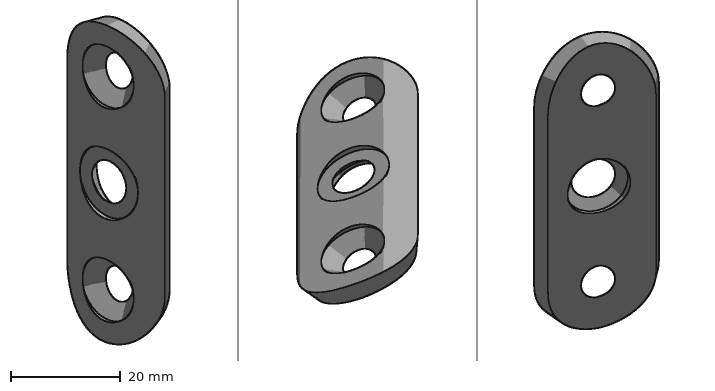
import cadquery as cq
import math

length = 64.0
width = 24.0
depth = 6.1
outer_radius = 26.25
end_radius = width / 2
straight_half = length / 2 - end_radius

edge_angle = math.asin(end_radius / outer_radius)
edge_sag = outer_radius * (1 - math.cos(edge_angle))
thickness = (depth - edge_sag) / math.cos(edge_angle)
inner_radius = outer_radius - thickness

center_hole_diameter = 8.3
counterbore_diameter = 14.2
counterbore_depth = 1.0

back_recess_diameter = 12.0
flare_height = (back_recess_diameter - center_hole_diameter) / 2

screw_hole_offset = 21.5
screw_hole_diameter = 6.2
countersink_diameter = 12.55
countersink_rim_depth = 0.8
countersink_height = (countersink_diameter - screw_hole_diameter) / 2


def outline_at(distance):
    """Radially project the outer outline onto a plane at a distance from the bend axis."""

    def end_point(angle, side):
        x_outer = end_radius * math.cos(angle)
        x = distance * math.tan(math.asin(x_outer / outer_radius))
        return (x, side * (straight_half + end_radius * math.sin(angle)))

    def upper_end(t):
        return end_point(math.pi * t, 1)

    def lower_end(t):
        return end_point(math.pi * (1 - t), -1)

    edge_x = distance * math.tan(edge_angle)
    return (
        cq.Workplane("XZ", origin=(0, outer_radius - distance, 0))
        .moveTo(edge_x, -straight_half)
        .lineTo(edge_x, straight_half)
        .parametricCurve(upper_end, N=40, makeWire=False)
        .lineTo(-edge_x, -straight_half)
        .parametricCurve(lower_end, N=40, makeWire=False)
        .close()
        .val()
    )


def bent_plate():
    """Cut a curved shell to the outline, with every side wall pointing at the bend axis."""
    shell = (
        cq.Workplane("XY", origin=(0, outer_radius, -length))
        .circle(outer_radius)
        .circle(inner_radius)
        .extrude(2 * length)
    )
    wedge = cq.Solid.makeLoft([outline_at(outer_radius), outline_at(outer_radius / 2)], True)
    return shell.intersect(cq.Workplane(wedge))


def bore(diameter, bore_depth, z=0):
    """Cylinder running along +Y from the outermost line of the plate."""
    return cq.Workplane("XZ", origin=(0, 0, z)).circle(diameter / 2).extrude(-bore_depth)


def cone(start_diameter, end_diameter, height, start_depth, z=0):
    """Cone running along +Y from a depth below the outermost line of the plate."""
    solid = cq.Solid.makeCone(
        start_diameter / 2,
        end_diameter / 2,
        height,
        pnt=cq.Vector(0, start_depth, z),
        dir=cq.Vector(0, 1, 0),
    )
    return cq.Workplane(solid)


def center_hole():
    counterbore = bore(counterbore_diameter, counterbore_depth)
    flare = cone(center_hole_diameter, back_recess_diameter, flare_height, counterbore_depth)
    recess_start = counterbore_depth + flare_height
    recess = bore(back_recess_diameter, depth - recess_start).translate((0, recess_start, 0))
    return counterbore.union(flare).union(recess)


def screw_hole(z):
    rim = bore(countersink_diameter, countersink_rim_depth, z)
    sink = cone(
        countersink_diameter, screw_hole_diameter, countersink_height, countersink_rim_depth, z
    )
    return bore(screw_hole_diameter, depth, z).union(rim).union(sink)


result = bent_plate().cut(center_hole())
for z_center in (-screw_hole_offset, screw_hole_offset):
    result = result.cut(screw_hole(z_center))